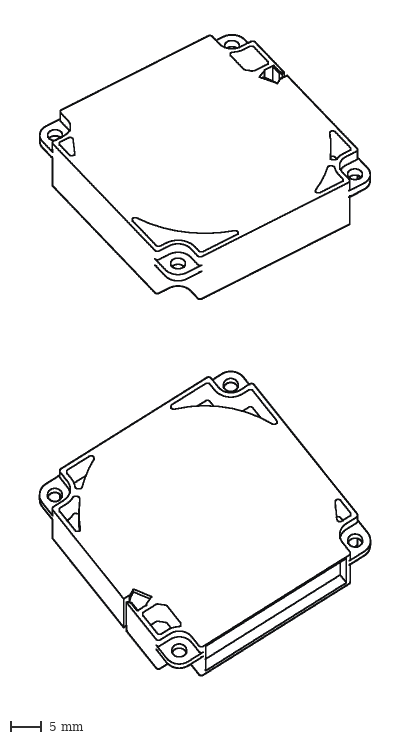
import cadquery as cq
import math

side = 40.0
height = 10.0
half = side / 2
edge_round = 0.5

relief_size = 5.0
lug_radius = relief_size / 2
lug_hole_diameter = 2.4
lug_offset = half - lug_radius
lug_drop = 2.0
lug_thickness = 1.5
lug_bottom = height - lug_drop - lug_thickness

window_width = 28.0
window_bottom = 1.0
window_top_rim = 0.5
window_top = height - window_top_rim
window_depth = 1.75

wall = 0.8
pocket_depth = 6.0
pocket_round = 0.5
outer_limit = half - wall
relief_limit = half - relief_size - wall
wide_ring_radius = 20.5
narrow_ring_radius = 19.5
rib_width = 1.4
rib_angle = 45.0
block_pocket_right = -9.3
block_pocket_bottom = 15.0
block_pocket_chamfer = 1.1
wedge_pocket_middle = (-12.05, -17.55)
wedge_pocket_angle = 30.0

opening_left = -8.5
opening_right = -5.4
opening_left_bottom = 17.6
opening_right_bottom = 18.9
slit_width = 0.8
lip_end = opening_right - slit_width
lip_thickness = 0.7
lip_bottom = half - lip_thickness
lip_tip_thickness = 0.4
lip_taper_length = 0.5
lip_chamfer = 0.15

channel_depth = 1.0
channel_inset = 0.1
channel_left_length = 1.7
channel_right_length = 1.35


def corner_area(sign_x, sign_y, margin, thickness):
    """Square corner area with its inner corner rounded about the lug hole, grown by a margin."""
    reach = relief_size + margin
    radius = lug_radius + margin
    hub = (sign_x * lug_offset, sign_y * lug_offset)
    strip = reach - radius
    strip_center = half - strip / 2
    area = cq.Workplane("XY").center(*hub).circle(radius).extrude(thickness)
    along_y = (
        cq.Workplane("XY")
        .center(sign_x * (half - reach / 2), sign_y * strip_center)
        .rect(reach, strip)
        .extrude(thickness)
    )
    along_x = (
        cq.Workplane("XY")
        .center(sign_x * strip_center, sign_y * (half - reach / 2))
        .rect(strip, reach)
        .extrude(thickness)
    )
    return area.union(along_y).union(along_x)


def make_housing():
    """Square block with relieved corners and a holed lug in each corner."""
    body = cq.Workplane("XY").rect(side, side).extrude(height)
    for sign_x in (-1, 1):
        for sign_y in (-1, 1):
            body = body.cut(corner_area(sign_x, sign_y, 0, height))
    body = body.edges("|Z").edges("<X or >X or <Y or >Y").fillet(edge_round)
    lugs = (
        cq.Workplane("XY", origin=(0, 0, lug_bottom))
        .rect(side, side)
        .extrude(lug_thickness)
        .edges("|Z")
        .fillet(lug_radius)
    )
    holes = (
        cq.Workplane("XY")
        .rect(2 * lug_offset, 2 * lug_offset, forConstruction=True)
        .vertices()
        .circle(lug_hole_diameter / 2)
        .extrude(height)
    )
    return body.union(lugs).cut(holes)


def make_window():
    """Blind rectangular window in the -X side."""
    window_height = window_top - window_bottom
    window = cq.Workplane("XY").box(window_depth, window_width, window_height, centered=(False, True, False))
    return window.translate((-half, 0, window_bottom))


def rounded_pockets(areas):
    """Round the outward corners of the areas and sink them from the top face."""
    pockets = cq.Workplane("XY")
    for solid in areas.solids().vals():
        outline = cq.Workplane(solid).faces("<Z").wires().val()
        core = outline.offset2D(-pocket_round)[0]
        rounded = core.offset2D(pocket_round)[0]
        pocket = cq.Workplane("XY").add(rounded).toPending().extrude(pocket_depth)
        pockets = pockets.add(pocket.vals())
    return pockets.combine().translate((0, 0, height - pocket_depth))


def ring_pocket_area(sign_y, ring_radius):
    """Corner area left between a circle about the part axis, the outer walls and the lug wall."""
    area = (
        cq.Workplane("XY")
        .center(outer_limit / 2, sign_y * outer_limit / 2)
        .rect(outer_limit, outer_limit)
        .extrude(pocket_depth)
    )
    disc = cq.Workplane("XY").circle(ring_radius).extrude(pocket_depth)
    return area.cut(disc).cut(corner_area(1, sign_y, wall, pocket_depth))


def make_split_pockets():
    """Pair of pockets in the +X +Y corner, parted by a diagonal rib."""
    rib = (
        cq.Workplane("XY")
        .rect(2 * side, rib_width)
        .extrude(pocket_depth)
        .rotate((0, 0, 0), (0, 0, 1), rib_angle)
    )
    return rounded_pockets(ring_pocket_area(1, wide_ring_radius).cut(rib))


def make_block_pocket():
    """Squarish pocket in the -X +Y corner with one chamfered corner."""
    chamfer_x = block_pocket_right - block_pocket_chamfer
    chamfer_y = block_pocket_bottom + block_pocket_chamfer
    area = (
        cq.Workplane("XY")
        .moveTo(-lug_offset, outer_limit)
        .lineTo(block_pocket_right, outer_limit)
        .lineTo(block_pocket_right, chamfer_y)
        .lineTo(chamfer_x, block_pocket_bottom)
        .lineTo(-lug_offset, block_pocket_bottom)
        .close()
        .extrude(pocket_depth)
    )
    return rounded_pockets(area.cut(corner_area(-1, 1, wall, pocket_depth)))


def make_wedge_pocket():
    """Triangular pocket in the -X -Y corner with a sloping long side."""
    slope = math.tan(math.radians(wedge_pocket_angle))
    middle_x, middle_y = wedge_pocket_middle
    area = (
        cq.Workplane("XY")
        .moveTo(-relief_limit, -outer_limit)
        .lineTo(middle_x + (middle_y + outer_limit) / slope, -outer_limit)
        .lineTo(-relief_limit, middle_y + (middle_x + relief_limit) * slope)
        .close()
        .extrude(pocket_depth)
    )
    return rounded_pockets(area)


def make_opening():
    """Cable opening through the full height, partly closed by a tapered lip on the +Y side."""
    return (
        cq.Workplane("XY")
        .moveTo(opening_left, opening_left_bottom)
        .lineTo(opening_right, opening_right_bottom)
        .lineTo(opening_right, half)
        .lineTo(lip_end, half)
        .lineTo(lip_end, half - lip_tip_thickness)
        .lineTo(lip_end - lip_taper_length, lip_bottom)
        .lineTo(opening_left, lip_bottom)
        .close()
        .extrude(height)
    )


def chamfer_lip(body):
    """Bevel the inner top edges of the lip, along its straight run and its taper."""
    lip_edges = cq.selectors.BoxSelector(
        (opening_left, lip_bottom - lip_chamfer, height - lip_chamfer),
        (lip_end, half - lip_tip_thickness, height + lip_chamfer),
    )
    return body.faces(">Z").edges(lip_edges).chamfer(lip_chamfer)


def make_channel():
    """Shallow channel square to the opening edge, its floor rolling over into the opening."""
    run = opening_right - opening_left
    rise = opening_right_bottom - opening_left_bottom
    edge_length = math.hypot(run, rise)
    edge_angle = math.degrees(math.atan2(rise, run))
    floor = height - channel_depth
    channel = (
        cq.Workplane("XY", origin=(0, 0, floor - channel_depth))
        .moveTo(channel_inset, 0)
        .lineTo(edge_length - channel_inset, 0)
        .lineTo(edge_length, -channel_right_length)
        .lineTo(channel_inset, -channel_left_length)
        .close()
        .extrude(2 * channel_depth)
    )
    floor_body = (
        cq.Workplane("XY", origin=(0, 0, floor - 2 * channel_depth))
        .center(edge_length / 2, -side / 2)
        .rect(2 * edge_length, side)
        .extrude(2 * channel_depth)
        .edges(">Y and >Z")
        .fillet(channel_depth)
    )
    return (
        channel.cut(floor_body)
        .rotate((0, 0, 0), (0, 0, 1), edge_angle)
        .translate((opening_left, opening_left_bottom, 0))
    )


housing = make_housing().cut(make_window()).cut(make_opening())
result = (
    chamfer_lip(housing)
    .cut(make_channel())
    .cut(make_split_pockets())
    .cut(rounded_pockets(ring_pocket_area(-1, narrow_ring_radius)))
    .cut(make_block_pocket())
    .cut(make_wedge_pocket())
)